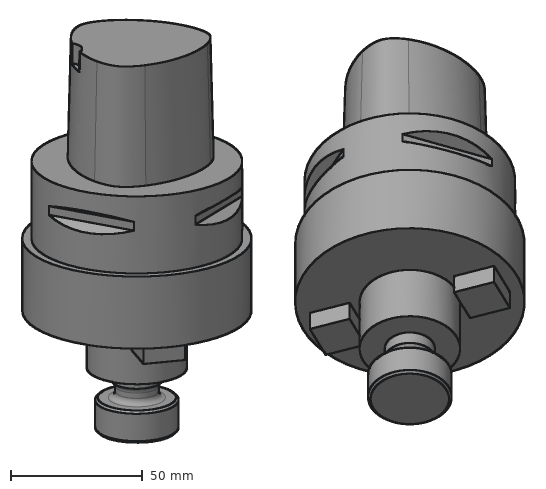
import cadquery as cq
import math


shank_length = 48.0
shank_base_width = 55.4
shank_taper = 1 / 20
lobe_rise = 2.15
lobe_count = 3
lobe_half_span = 34.0
first_lobe_angle = 90.0

notch_width = 10.0
notch_height = 8.0
notch_depth = 2.5
notch_side_depth = 0.4

gripper_diameter = 80.0
gripper_length = 31.0
body_diameter = 87.0
body_length = 29.0

slot_count = 4
slot_first_angle = 45.0
slot_floor_distance = 35.5
slot_floor_height = 3.5
slot_centre_depth = 12.0
slot_flank_angle = 30.0

pilot_diameter = 38.1
pilot_length = 23.0
key_width = 16.3
key_height = 8.0
key_inner_distance = 21.3
key_outer_distance = 37.5

shoulder_diameter = 19.05
shoulder_length = 5.2
neck_diameter = 16.65
neck_fillet = 2.5
head_diameter = 31.75
head_length = 13.0
head_chamfer = 1.0
screw_length = 25.0

body_top = -gripper_length
body_bottom = body_top - body_length
pilot_bottom = body_bottom - pilot_length
screw_bottom = pilot_bottom - screw_length


def polygon_point(half_width, angle):
    """Point of the constant-width outline whose outward normal has the given direction."""
    normal = math.radians(angle)
    phase = lobe_count * math.radians(angle - first_lobe_angle)
    support = half_width + lobe_rise * math.cos(phase)
    slope = -lobe_count * lobe_rise * math.sin(phase)
    x = support * math.cos(normal) - slope * math.sin(normal)
    y = support * math.sin(normal) + slope * math.cos(normal)
    return x, y


def polygon_wire(half_width, z):
    """Outline made of one curve over each lobe and one over each side."""
    pitch = 360.0 / lobe_count
    samples = 12
    edges = []
    for lobe in range(lobe_count):
        tip = first_lobe_angle + lobe * pitch
        limits = (tip - lobe_half_span, tip + lobe_half_span, tip + pitch - lobe_half_span)
        for start, end in zip(limits, limits[1:]):
            angles = [start + (end - start) * i / samples for i in range(samples + 1)]
            points = [cq.Vector(*polygon_point(half_width, a), z) for a in angles]
            tangents = [
                cq.Vector(-math.sin(math.radians(a)), math.cos(math.radians(a)), 0)
                for a in (start, end)
            ]
            edges.append(cq.Edge.makeSpline(points, tangents=tangents))
    return cq.Wire.assembleEdges(edges)


def make_shank():
    base_half_width = shank_base_width / 2
    top_half_width = base_half_width - shank_taper * shank_length / 2
    base = polygon_wire(base_half_width, 0)
    top = polygon_wire(top_half_width, shank_length)
    shank = cq.Workplane(obj=cq.Solid.makeLoft([base, top], True))

    front = top_half_width - lobe_rise
    clear = -body_diameter / 2
    arc_end = -front + notch_side_depth
    notch = (
        cq.Workplane("XY", origin=(0, 0, shank_length - notch_height))
        .moveTo(-notch_width / 2, clear)
        .lineTo(-notch_width / 2, arc_end)
        .threePointArc((0, -front + notch_depth), (notch_width / 2, arc_end))
        .lineTo(notch_width / 2, clear)
        .close()
        .extrude(notch_height)
    )
    return shank.cut(notch)


def make_flange():
    gripper = cq.Workplane("XY").circle(gripper_diameter / 2).extrude(-gripper_length)
    body = (
        cq.Workplane("XY", origin=(0, 0, body_top))
        .circle(body_diameter / 2)
        .extrude(-body_length)
    )
    return gripper.union(body)


def make_gripper_slot():
    """Cutter on the +X side: flat floor with flanks that open outwards."""
    outer = body_diameter / 2
    floor_half = slot_floor_height / 2
    flare = (outer - slot_floor_distance) * math.tan(math.radians(slot_flank_angle))
    return (
        cq.Workplane("XZ", origin=(0, 0, -slot_centre_depth))
        .moveTo(slot_floor_distance, -floor_half)
        .lineTo(outer, -floor_half - flare)
        .lineTo(outer, floor_half + flare)
        .lineTo(slot_floor_distance, floor_half)
        .close()
        .extrude(gripper_diameter / 2, both=True)
    )


def make_key(side):
    """Drive key under the flange; side is +1 for +X and -1 for -X."""
    centre = side * (key_inner_distance + key_outer_distance) / 2
    return (
        cq.Workplane("XY", origin=(centre, 0, body_bottom))
        .rect(key_outer_distance - key_inner_distance, key_width)
        .extrude(-key_height)
    )


def make_pilot():
    return (
        cq.Workplane("XY", origin=(0, 0, body_bottom))
        .circle(pilot_diameter / 2)
        .extrude(-pilot_length)
    )


def make_screw():
    """Revolved screw: shoulder, filleted neck and chamfered head."""
    shoulder_radius = shoulder_diameter / 2
    neck_radius = neck_diameter / 2
    head_radius = head_diameter / 2
    head_top = screw_bottom + head_length
    shoulder_bottom = pilot_bottom - shoulder_length

    fillet_axis = neck_radius + neck_fillet
    upper_sweep = math.acos((fillet_axis - shoulder_radius) / neck_fillet)
    neck_top = shoulder_bottom - neck_fillet * math.sin(upper_sweep)
    upper_middle = (
        fillet_axis - neck_fillet * math.cos(upper_sweep / 2),
        neck_top + neck_fillet * math.sin(upper_sweep / 2),
    )
    neck_bottom = head_top + neck_fillet
    diagonal = neck_fillet * math.sqrt(0.5)

    return (
        cq.Workplane("XZ")
        .moveTo(0, pilot_bottom)
        .lineTo(shoulder_radius, pilot_bottom)
        .lineTo(shoulder_radius, shoulder_bottom)
        .threePointArc(upper_middle, (neck_radius, neck_top))
        .lineTo(neck_radius, neck_bottom)
        .threePointArc((fillet_axis - diagonal, neck_bottom - diagonal), (fillet_axis, head_top))
        .lineTo(head_radius - head_chamfer, head_top)
        .lineTo(head_radius, head_top - head_chamfer)
        .lineTo(head_radius, screw_bottom + head_chamfer)
        .lineTo(head_radius - head_chamfer, screw_bottom)
        .lineTo(0, screw_bottom)
        .close()
        .revolve(360, (0, 0, 0), (0, 1, 0))
    )


flange = make_flange()
gripper_slot = make_gripper_slot()
for index in range(slot_count):
    slot_angle = slot_first_angle + index * 360 / slot_count
    flange = flange.cut(gripper_slot.rotate((0, 0, 0), (0, 0, 1), slot_angle))

result = flange.union(make_shank()).union(make_pilot()).union(make_screw())
for key_side in (1, -1):
    result = result.union(make_key(key_side))